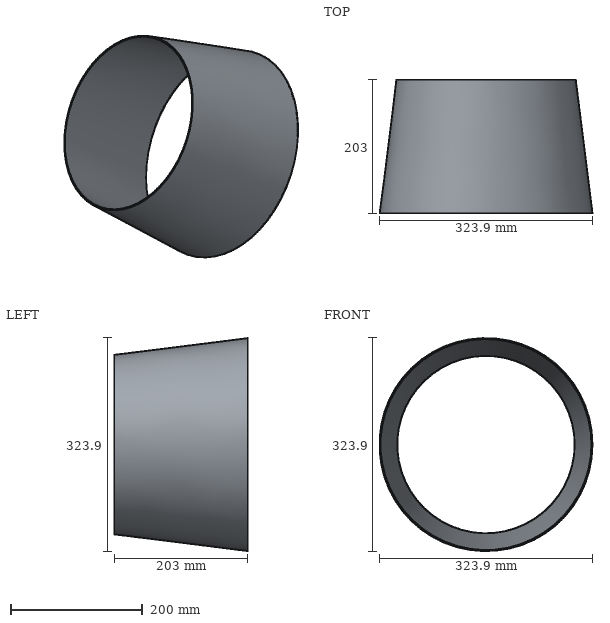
import cadquery as cq

large_diameter = 323.9
small_diameter = 273.0
length = 203.0
wall = 2.0

large_radius = large_diameter / 2
small_radius = small_diameter / 2


def reducer_shell():
    """Revolve the sloped wall section around the Y axis."""
    section = (
        cq.Workplane("XY")
        .moveTo(large_radius - wall, 0)
        .lineTo(large_radius, 0)
        .lineTo(small_radius, length)
        .lineTo(small_radius - wall, length)
        .close()
    )
    return section.revolve(360, (0, 0, 0), (0, 1, 0))


result = reducer_shell()